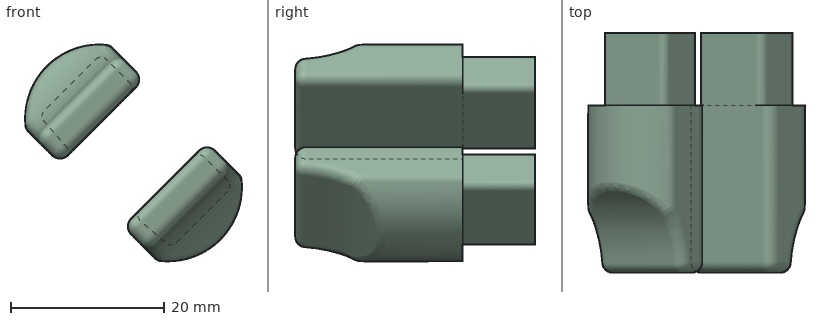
import cadquery as cq
import math

INNER_FACE = 5.83
GRIP_HALF_WIDTH = 7.75
CROWN_RADIUS = 9.75
CROWN_CENTRE = 6.27
GRIP_LENGTH = 21.88
TOTAL_LENGTH = 31.35
EDGE_FILLET = 1.45

FRONT_FACE_TOP = 10.47
SCOOP_RADIUS = 13.95

TONGUE_INNER_U_MIN = -5.7
TONGUE_OUTER_U_MIN = -5.25
TONGUE_U_MAX = 6.15
TONGUE_OUTER_FACE = 12.2
TONGUE_FILLET = 1.0

TILT = 45.0
FRONT_Y = -TOTAL_LENGTH / 2
SHOULDER_Y = FRONT_Y + GRIP_LENGTH
REAR_Y = TOTAL_LENGTH / 2
CROWN_TOP = CROWN_CENTRE + CROWN_RADIUS
CROWN_EDGE = CROWN_CENTRE + math.sqrt(CROWN_RADIUS**2 - GRIP_HALF_WIDTH**2)


def section_plane(y):
    """Plane across the part with local x = u, local y = v and its normal toward -Y."""
    return cq.Plane(origin=(0, y, 0), xDir=(1, 0, 0), normal=(0, -1, 0))


def make_blank():
    """D-shaped bar with rounded long edges."""
    return (
        cq.Workplane(section_plane(SHOULDER_Y))
        .moveTo(-GRIP_HALF_WIDTH, INNER_FACE)
        .lineTo(GRIP_HALF_WIDTH, INNER_FACE)
        .lineTo(GRIP_HALF_WIDTH, CROWN_EDGE)
        .threePointArc((0, CROWN_TOP), (-GRIP_HALF_WIDTH, CROWN_EDGE))
        .close()
        .extrude(GRIP_LENGTH)
        .edges("|Y")
        .fillet(EDGE_FILLET)
    )


def make_scoop():
    """Cylinder along u whose lowest line lies in the plane of the front face."""
    return (
        cq.Workplane("YZ")
        .center(FRONT_Y, FRONT_FACE_TOP + SCOOP_RADIUS)
        .circle(SCOOP_RADIUS)
        .extrude(2 * GRIP_HALF_WIDTH, both=True)
    )


def make_tongue():
    """Rounded bar behind the shoulder, flush with the inner face."""
    return (
        cq.Workplane(section_plane(REAR_Y))
        .moveTo(TONGUE_INNER_U_MIN, INNER_FACE)
        .lineTo(TONGUE_U_MAX, INNER_FACE)
        .lineTo(TONGUE_U_MAX, TONGUE_OUTER_FACE)
        .lineTo(TONGUE_OUTER_U_MIN, TONGUE_OUTER_FACE)
        .close()
        .extrude(TOTAL_LENGTH - GRIP_LENGTH)
        .edges("|Y")
        .fillet(TONGUE_FILLET)
    )


def make_grip():
    """Grip with scoop, rounded front and tongue, lying in the untilted frame."""
    scooped = make_blank().cut(make_scoop())
    scoop_floor_edge = scooped.faces("<Y").edges(">Z")
    scoop_face = scoop_floor_edge.ancestors("Face").faces("not(<Y)")
    front_and_scoop = scooped.faces("<Y").add(scoop_face)
    rounded = front_and_scoop.edges().fillet(EDGE_FILLET)
    return rounded.union(make_tongue())


def tilt(body):
    """Turn a body about Y so that its u axis runs diagonally up in +X."""
    return body.rotate((0, 0, 0), (0, 1, 0), -TILT)


upright_grip = make_grip()
upper_grip = tilt(upright_grip)
lower_grip = tilt(upright_grip.mirror("XY"))

result = cq.Compound.makeCompound([upper_grip.val(), lower_grip.val()])